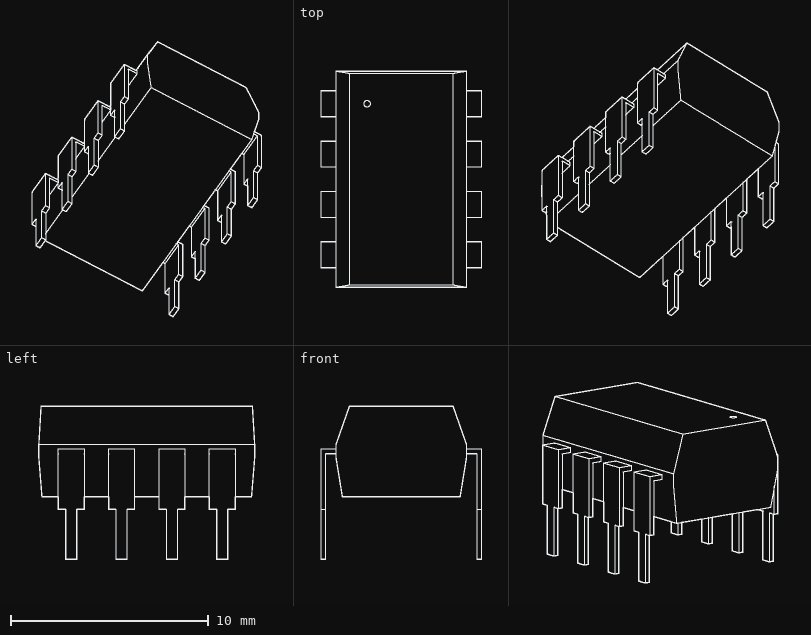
import cadquery as cq

overall_width = 8.14
overall_height = 7.75

waist_width = 6.61
waist_length = 10.92
waist_height = 0.67
top_width = 5.24
top_length = 10.69
upper_height = 1.94
bottom_width = 5.96
bottom_length = 10.6
lower_height = 1.98

leads_per_side = 4
lead_pitch = 2.54
lead_thickness = 0.25
shoulder_width = 1.32
tip_width = 0.57
tip_height = 2.53
lead_drop = 0.22

marker_diameter = 0.33
marker_depth = 0.11
marker_x = -1.73

waist_top_z = overall_height - upper_height
waist_bottom_z = waist_top_z - waist_height
lead_top_z = waist_top_z - lead_drop

lead_outer_x = overall_width / 2
lead_inner_x = waist_width / 2
first_lead_y = lead_pitch * (leads_per_side - 1) / 2


def make_taper(start_z, width, length, rise):
    """Tapered half of the housing, from the waist outline to a smaller rectangle."""
    return (
        cq.Workplane("XY", origin=(0, 0, start_z))
        .rect(waist_width, waist_length)
        .workplane(offset=rise)
        .rect(width, length)
        .loft(ruled=True)
    )


def make_marker():
    """Flush disc that marks the first lead."""
    return (
        cq.Workplane("XY", origin=(marker_x, first_lead_y, overall_height - marker_depth))
        .circle(marker_diameter / 2)
        .extrude(marker_depth)
    )


def make_housing(marker):
    """Housing with a recess that fits the marker."""
    waist = (
        cq.Workplane("XY", origin=(0, 0, waist_bottom_z))
        .rect(waist_width, waist_length)
        .extrude(waist_height)
    )
    upper = make_taper(waist_top_z, top_width, top_length, upper_height)
    lower = make_taper(waist_bottom_z, bottom_width, bottom_length, -lower_height)
    return waist.union(upper).union(lower).cut(marker)


def make_lead(side, y):
    """Bent lead that butts against the waist; side is -1 or +1 along X."""
    bend_profile = [
        (side * lead_inner_x, lead_top_z),
        (side * lead_outer_x, lead_top_z),
        (side * lead_outer_x, tip_height),
        (side * (lead_outer_x - lead_thickness), tip_height),
        (side * (lead_outer_x - lead_thickness), lead_top_z - lead_thickness),
        (side * lead_inner_x, lead_top_z - lead_thickness),
    ]
    shoulder = (
        cq.Workplane("XZ", origin=(0, y, 0))
        .polyline(bend_profile)
        .close()
        .extrude(shoulder_width / 2, both=True)
    )
    tip = (
        cq.Workplane("XY", origin=(side * (lead_outer_x - lead_thickness / 2), y, 0))
        .rect(lead_thickness, tip_width)
        .extrude(tip_height)
    )
    return shoulder.union(tip)


marker = make_marker()
housing = make_housing(marker)

leads = []
for side in (-1, 1):
    for index in range(leads_per_side):
        lead = make_lead(side, first_lead_y - index * lead_pitch)
        leads.append(lead.solids().val())

result = cq.Compound.makeCompound([housing.solids().val(), marker.val(), *leads])